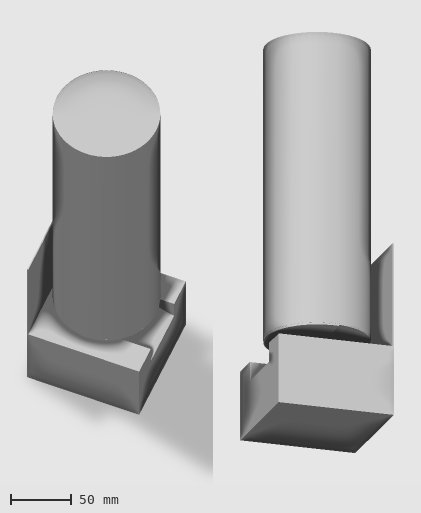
import cadquery as cq

base_side = 100.0
base_height = 60.0
plate_top = 150.0
plate_thickness = 1.0

chute_width = base_side / 2
chute_length = base_side / 2
chute_drop = 16.5

overall_height = 330.2
sleeve_diameter = 88.8
sleeve_bottom = 76.5
core_diameter = 88.5
core_top_recess = 0.3
core_protrusion = 1.0
core_bottom = sleeve_bottom - core_protrusion

shutter_thickness = 1.0
shutter_bottom = core_bottom - shutter_thickness
shutter_edge_x = -4.5

pin_diameter = 4.3
pin_x = -1.5


def make_base():
    block = cq.Workplane("XY").box(base_side, base_side, base_height, centered=(True, True, False))
    plate = (
        cq.Workplane("XY")
        .box(plate_thickness, base_side, plate_top, centered=(False, True, False))
        .translate((-base_side / 2, 0, 0))
    )
    chute_end = base_side / 2
    chute = (
        cq.Workplane("XZ")
        .moveTo(chute_end - chute_length, base_height)
        .lineTo(chute_end, base_height)
        .lineTo(chute_end, base_height - chute_drop)
        .close()
        .extrude(chute_width / 2, both=True)
    )
    return block.union(plate).cut(chute)


def make_cylinder(diameter, bottom, top, center_x=0):
    return cq.Workplane("XY", origin=(center_x, 0, bottom)).circle(diameter / 2).extrude(top - bottom)


def make_sleeve():
    bore = make_cylinder(core_diameter, sleeve_bottom, overall_height)
    return make_cylinder(sleeve_diameter, sleeve_bottom, overall_height).cut(bore)


def make_core():
    return make_cylinder(core_diameter, core_bottom, overall_height - core_top_recess)


def make_shutter():
    keep_side = (
        cq.Workplane("XY", origin=(shutter_edge_x, 0, shutter_bottom))
        .box(core_diameter, core_diameter, shutter_thickness, centered=(False, True, False))
    )
    half_disc = make_cylinder(core_diameter, shutter_bottom, core_bottom).intersect(keep_side)
    pin = make_cylinder(pin_diameter, base_height, core_bottom, pin_x)
    return half_disc.union(pin)


base = make_base()
sleeve = make_sleeve()
core = make_core()
shutter = make_shutter()
result = cq.Compound.makeCompound([base.val(), sleeve.val(), core.val(), shutter.val()])